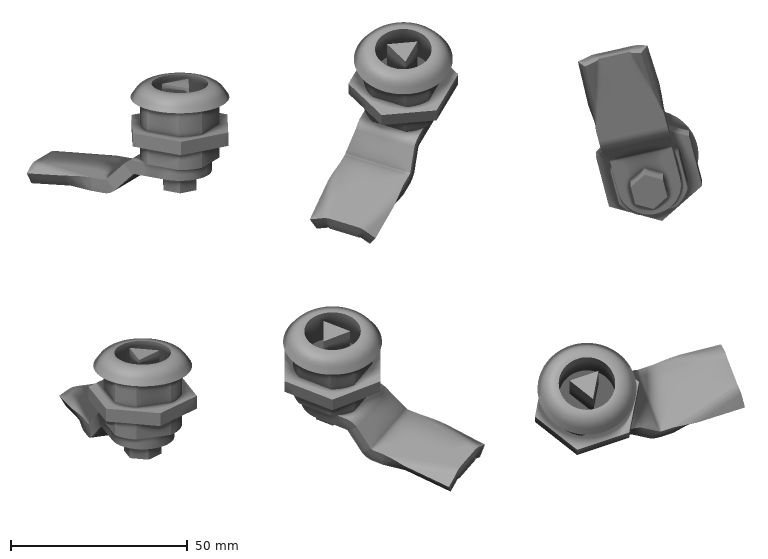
import cadquery as cq
import math

housing_width = 20.0
housing_corner_diameter = 22.5
flange_diameter = 28.0
flange_base = 18.0
flange_top = 22.0
cone_top_radius = 12.8
cone_height = 1.8
ring_radius = 8.65
well_diameter = 16.0
well_depth = 10.0
key_side = 8.65

nut_width = 27.1
nut_base = 6.0
nut_thickness = 4.0

stem_diameter = 6.0
bolt_corner_width = 10.8
bolt_height = 5.0

cam_thickness = 4.0
cam_root_half_width = 9.0
cam_blade_half_width = 10.0
cam_tip_x = -43.9
cam_drop = 7.0
bend_start_x = -9.55
bend_angle = 45.0
bend_inner_radius = 1.0

wing_fold_angle = 30.0
wing_neutral_radius = 3.6
front_fold_offset = 4.85
front_fold_slant = 14.0
back_fold_offset = 3.8
back_fold_slant = 16.0
fold_sections = 7

bend_outer_radius = bend_inner_radius + cam_thickness
bend_sin = math.sin(math.radians(bend_angle))
bend_cos = math.cos(math.radians(bend_angle))
bend_run = (bend_inner_radius + bend_outer_radius) * bend_sin
bend_fall = (bend_inner_radius + bend_outer_radius) * (1 - bend_cos)
slope_run = (cam_drop - bend_fall) / math.tan(math.radians(bend_angle))
blade_start_x = bend_start_x - bend_run - slope_run
blade_top = -cam_drop
blade_bottom = blade_top - cam_thickness


def hexagon(width_over_corners, base, height):
    """Hexagonal prism with two corners on the X axis."""
    return cq.Workplane("XY").workplane(offset=base).polygon(6, width_over_corners).extrude(height)


def make_barrel():
    """Round barrel with four flats."""
    square = cq.Workplane("XY").rect(housing_width, housing_width).extrude(flange_base)
    return square.intersect(cq.Workplane("XY").circle(housing_corner_diameter / 2).extrude(flange_base))


def make_flange():
    """Conical rim with a rounded crown that is level where it meets the flat ring."""
    cone_top = flange_base + cone_height
    width = cone_top_radius - ring_radius
    rise = flange_top - cone_top
    crown_radius = (width**2 + rise**2) / (2 * rise)
    half_sweep = math.atan2(rise, width)
    crown_middle = (
        ring_radius + crown_radius * math.sin(half_sweep),
        flange_top - crown_radius * (1 - math.cos(half_sweep)),
    )
    return (
        cq.Workplane("XZ")
        .moveTo(0, flange_base)
        .lineTo(flange_diameter / 2, flange_base)
        .lineTo(cone_top_radius, cone_top)
        .threePointArc(crown_middle, (ring_radius, flange_top))
        .lineTo(0, flange_top)
        .close()
        .revolve(360, (0, 0, 0), (0, 1, 0))
    )


def make_lock():
    """Housing, nut, key post, stem and bolt head as one solid."""
    nut_corner_width = nut_width / math.cos(math.radians(30))
    well_floor = cq.Workplane("XY").workplane(offset=flange_top - well_depth)
    well = well_floor.circle(well_diameter / 2).extrude(well_depth)
    key_post = (
        well_floor.transformed(rotate=(0, 0, 90))
        .polygon(3, 2 * key_side / math.sqrt(3))
        .extrude(well_depth)
    )
    stem = cq.Workplane("XY").circle(stem_diameter / 2).extrude(-cam_thickness)
    bolt_head = hexagon(bolt_corner_width, -cam_thickness, -bolt_height)
    return (
        make_barrel()
        .union(make_flange())
        .cut(well)
        .union(key_post)
        .union(hexagon(nut_corner_width, nut_base, nut_thickness))
        .union(stem)
        .union(bolt_head)
    )


def bend_point(center, radius, angle):
    """Point on a bend, with the angle in degrees measured from straight up toward -X."""
    turn = math.radians(angle)
    return (center[0] - radius * math.sin(turn), center[1] + radius * math.cos(turn))


def make_slope_taper():
    """Prism square to the slope, widening from the root to the blade between the two bends."""
    slope_length = slope_run / bend_cos
    reach = abs(cam_tip_x) + cam_root_half_width
    slope_plane = cq.Plane(
        origin=(bend_start_x, 0, -bend_outer_radius),
        xDir=(-bend_cos, 0, -bend_sin),
        normal=(-bend_sin, 0, bend_cos),
    )
    return (
        cq.Workplane(slope_plane)
        .moveTo(-reach, -cam_root_half_width)
        .lineTo(0, -cam_root_half_width)
        .lineTo(slope_length, -cam_blade_half_width)
        .lineTo(reach, -cam_blade_half_width)
        .lineTo(reach, cam_blade_half_width)
        .lineTo(slope_length, cam_blade_half_width)
        .lineTo(0, cam_root_half_width)
        .lineTo(-reach, cam_root_half_width)
        .close()
        .extrude(reach, both=True)
    )


def make_cam_strip():
    """Z-bent strip from the rounded root to the tip, before the wings are added."""
    upper = (bend_start_x, -bend_outer_radius)
    lower = (blade_start_x, blade_top + bend_inner_radius)
    half_bend = bend_angle / 2
    side = (
        cq.Workplane("XZ")
        .moveTo(cam_root_half_width, 0)
        .lineTo(bend_start_x, 0)
        .threePointArc(
            bend_point(upper, bend_outer_radius, half_bend),
            bend_point(upper, bend_outer_radius, bend_angle),
        )
        .lineTo(*bend_point(lower, bend_inner_radius, 180 + bend_angle))
        .threePointArc(
            bend_point(lower, bend_inner_radius, 180 + half_bend), (blade_start_x, blade_top)
        )
        .lineTo(cam_tip_x, blade_top)
        .lineTo(cam_tip_x, blade_bottom)
        .lineTo(blade_start_x, blade_bottom)
        .threePointArc(
            bend_point(lower, bend_outer_radius, 180 + half_bend),
            bend_point(lower, bend_outer_radius, 180 + bend_angle),
        )
        .lineTo(*bend_point(upper, bend_inner_radius, bend_angle))
        .threePointArc(
            bend_point(upper, bend_inner_radius, half_bend), (bend_start_x, -cam_thickness)
        )
        .lineTo(cam_root_half_width, -cam_thickness)
        .close()
        .extrude(cam_blade_half_width, both=True)
    )
    front_fold_end_x = fold_end_x(front_fold_offset, front_fold_slant)
    back_fold_end_x = fold_end_x(back_fold_offset, back_fold_slant)
    outline = (
        cq.Workplane("XY")
        .workplane(offset=blade_bottom)
        .moveTo(0, -cam_root_half_width)
        .threePointArc((cam_root_half_width, 0), (0, cam_root_half_width))
        .lineTo(bend_start_x, cam_blade_half_width)
        .lineTo(back_fold_end_x, cam_blade_half_width)
        .lineTo(cam_tip_x, back_fold_offset)
        .lineTo(cam_tip_x, -front_fold_offset)
        .lineTo(front_fold_end_x, -cam_blade_half_width)
        .lineTo(bend_start_x, -cam_blade_half_width)
        .close()
        .extrude(-blade_bottom)
    )
    return side.intersect(outline).intersect(make_slope_taper())


def fold_end_x(offset, slant):
    """Where a slanted fold line runs out at the side of the blade."""
    return cam_tip_x + (cam_blade_half_width - offset) / math.tan(math.radians(slant))


def make_wing(side, offset, slant):
    """Blade corner folded down about a slanted line; side is +1 for +Y and -1 for -Y.

    The flat blank is a triangle between the fold line, the tip and the side of the blade.
    Each bend section is a rectangle across the thickness, at one distance from the fold line.
    """
    tilt = math.radians(slant)
    fold = math.radians(wing_fold_angle)
    along = cq.Vector(math.cos(tilt), side * math.sin(tilt), 0)
    across = cq.Vector(-math.sin(tilt), side * math.cos(tilt), 0)
    up = cq.Vector(0, 0, 1)
    axis_start = cq.Vector(cam_tip_x, side * offset, blade_top - bend_outer_radius)
    blank_width = cam_blade_half_width - offset
    wing_reach = blank_width * math.cos(tilt) - wing_neutral_radius * fold

    def section(angle):
        blank_distance = wing_neutral_radius * angle
        tip_end = along * (blank_distance * math.tan(tilt))
        side_end = along * ((blank_width - blank_distance * math.cos(tilt)) / math.sin(tilt))
        normal = across * math.sin(angle) + up * math.cos(angle)
        inner = axis_start + normal * bend_inner_radius
        outer = axis_start + normal * bend_outer_radius
        return [inner + tip_end, inner + side_end, outer + side_end, outer + tip_end]

    bend_angles = [fold * step / (fold_sections - 1) for step in range(fold_sections)]
    bend_wires = [cq.Wire.makePolygon(section(angle), close=True) for angle in bend_angles]
    bend = cq.Solid.makeLoft(bend_wires, False)

    wing_normal = across * math.sin(fold) + up * math.cos(fold)
    wing_outward = across * math.cos(fold) - up * math.sin(fold)
    tip_root, side_root = section(fold)[:2]
    wing_corner = (
        axis_start
        + wing_normal * bend_inner_radius
        + wing_outward * wing_reach
        + along * (blank_width * math.sin(tilt))
    )
    wing_wire = cq.Wire.makePolygon([tip_root, side_root, wing_corner], close=True)
    flat_wing = cq.Solid.extrudeLinear(wing_wire, [], wing_normal * cam_thickness)
    return cq.Workplane(obj=bend).union(cq.Workplane(obj=flat_wing))


def make_cam():
    """Bent cam with two folded wings and a hole for the stem."""
    hole = cq.Workplane("XY").circle(stem_diameter / 2).extrude(-cam_thickness)
    return (
        make_cam_strip()
        .union(make_wing(1, back_fold_offset, back_fold_slant))
        .union(make_wing(-1, front_fold_offset, front_fold_slant))
        .cut(hole)
    )


lock = make_lock()
cam = make_cam()
result = cq.Compound.makeCompound([lock.val(), cam.val()])